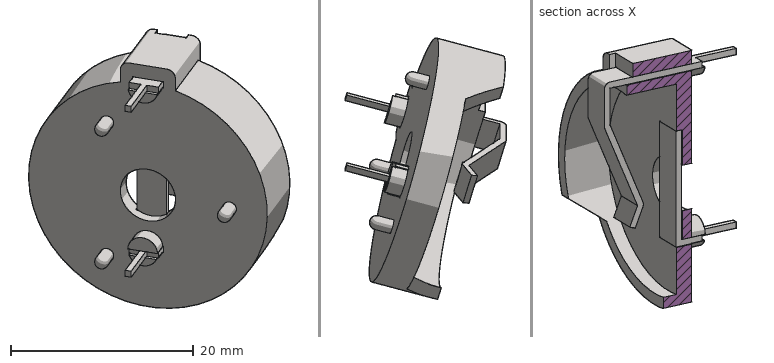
import cadquery as cq
import math


disc_radius = 13.85
disc_depth = 7.6
pocket_radius = 12.5
floor_thickness = 2.0
hole_radius = 3.2
low_rim_depth = 3.7
ramp_top_z = -4.5
ramp_bottom_z = -7.4

tab_half_width = hole_radius
tab_top_z = 16.0
tab_depth = 8.39
tab_corner_radius = 1.0

peg_radius = 0.78
peg_straight_length = 1.75
peg_circle_radius = 9.5
peg_count = 3

strip_width = 3.4
strip_thickness = 0.75
strip_reach = 1.37
pin_width = 0.7
pin_reach = 6.6
slot_width = 3.58
boss_radius = 1.73
boss_length = peg_straight_length
upper_strip_z = 13.6
upper_boss_z = 14.02
lower_strip_z = -6.83
lower_boss_z = -6.15
plate_front_y = floor_thickness - strip_thickness
plate_top_z = -lower_strip_z

spring_back_y = 11.2
leg_bottom_z = 9.28
spring_angle = math.radians(23)
spring_length = 10.77
tip_length = 2.55


def box(x_width, y_start, y_end, z_start, z_end):
    """Box centred on X = 0 that spans the given Y and Z ranges."""
    size_y = y_end - y_start
    size_z = z_end - z_start
    corner = (-x_width / 2, y_start, z_start)
    return cq.Workplane("XY").box(x_width, size_y, size_z, centered=False).translate(corner)


def cylinder(radius, y_start, y_end, x=0, z=0):
    """Cylinder along Y that spans the given Y range."""
    start = cq.Vector(x, y_start, z)
    return cq.Workplane(cq.Solid.makeCylinder(radius, y_end - y_start, start, cq.Vector(0, 1, 0)))


def make_tab():
    tab = box(2 * tab_half_width, 0, tab_depth, 0, tab_top_z)
    return tab.edges("|Y and >Z").fillet(tab_corner_radius)


def make_ramp_cut():
    """Wedge that lowers the rim at the bottom of the disc."""
    run = ramp_top_z - ramp_bottom_z
    overshoot_z = -disc_radius - run
    return (
        cq.Workplane("YZ")
        .moveTo(disc_depth, ramp_top_z)
        .lineTo(low_rim_depth, ramp_bottom_z)
        .lineTo(low_rim_depth, overshoot_z)
        .lineTo(disc_depth, overshoot_z)
        .close()
        .extrude(disc_radius, both=True)
    )


def make_peg(angle):
    x = peg_circle_radius * math.cos(angle)
    z = peg_circle_radius * math.sin(angle)
    shank = cylinder(peg_radius, -peg_straight_length, 0, x, z)
    round_end = cq.Workplane("XY").sphere(peg_radius).translate((x, -peg_straight_length, z))
    return shank.union(round_end)


def make_slot(strip_z, y_end):
    return box(slot_width, -boss_length, y_end, strip_z, strip_z + strip_thickness)


def make_housing():
    body = cylinder(disc_radius, 0, disc_depth).union(make_tab())
    body = body.cut(cylinder(pocket_radius, floor_thickness, tab_depth))
    body = body.cut(cylinder(hole_radius, 0, floor_thickness))
    body = body.cut(make_ramp_cut())

    upper_boss = cylinder(boss_radius, -boss_length, 0, z=upper_boss_z)
    upper_boss = upper_boss.intersect(box(2 * boss_radius, -boss_length, 0, 0, upper_strip_z))
    lower_boss = cylinder(boss_radius, -boss_length, 0, z=lower_boss_z)
    body = body.union(upper_boss).union(lower_boss)
    for i in range(peg_count):
        body = body.union(make_peg(2 * math.pi * i / peg_count))

    body = body.cut(make_slot(upper_strip_z, tab_depth))
    body = body.cut(make_slot(lower_strip_z, floor_thickness))
    body = body.cut(box(slot_width, plate_front_y, floor_thickness, lower_strip_z, plate_top_z))
    return body.cut(box(slot_width, disc_depth, tab_depth, upper_strip_z, tab_top_z))


def make_strip(strip_z, y_end):
    """Wide flat strip that narrows to a solder pin at its front end."""
    strip_top_z = strip_z + strip_thickness
    strip = box(strip_width, -strip_reach, y_end, strip_z, strip_top_z)
    return strip.union(box(pin_width, -pin_reach, -strip_reach, strip_z, strip_top_z))


def make_spring(strip_end_y):
    """Strip bent down behind the tab, then into the pocket, with its tip bent out again.

    Each bend is a round corner about the inside edge of the strip.
    """

    def step(point, distance, angle):
        """Point at a distance along a direction measured from +Y towards +Z."""
        return (point[0] + distance * math.cos(angle), point[1] + distance * math.sin(angle))

    down = -math.pi / 2
    slope_down = down - spring_angle
    tip_down = down + spring_angle

    top_pivot = (strip_end_y, upper_strip_z)
    leg_pivot = (strip_end_y, leg_bottom_z)
    slope_start = step(leg_pivot, strip_thickness, -spring_angle)
    tip_pivot = step(slope_start, spring_length, slope_down)
    tip_end = step(tip_pivot, tip_length, tip_down)

    slope_side = math.pi - spring_angle
    tip_side = math.pi + spring_angle
    return (
        cq.Workplane("YZ")
        .moveTo(*top_pivot)
        .lineTo(*step(top_pivot, strip_thickness, math.pi / 2))
        .threePointArc(step(top_pivot, strip_thickness, math.pi / 4), step(top_pivot, strip_thickness, 0))
        .lineTo(*step(leg_pivot, strip_thickness, 0))
        .threePointArc(step(leg_pivot, strip_thickness, -spring_angle / 2), slope_start)
        .lineTo(*tip_pivot)
        .lineTo(*tip_end)
        .lineTo(*step(tip_end, strip_thickness, tip_side))
        .lineTo(*step(tip_pivot, strip_thickness, tip_side))
        .threePointArc(step(tip_pivot, strip_thickness, math.pi), step(tip_pivot, strip_thickness, slope_side))
        .lineTo(*leg_pivot)
        .close()
        .extrude(strip_width / 2, both=True)
    )


def make_upper_contact():
    strip_end_y = spring_back_y - strip_thickness
    return make_strip(upper_strip_z, strip_end_y).union(make_spring(strip_end_y))


def make_lower_contact():
    """Strip through the floor with an upright plate that crosses the centre hole."""
    plate = box(strip_width, plate_front_y, floor_thickness, lower_strip_z, plate_top_z)
    return make_strip(lower_strip_z, floor_thickness).union(plate)


housing = make_housing().solids()
upper_contact = make_upper_contact().solids()
lower_contact = make_lower_contact().solids()

result = cq.Compound.makeCompound([housing.val(), upper_contact.val(), lower_contact.val()])